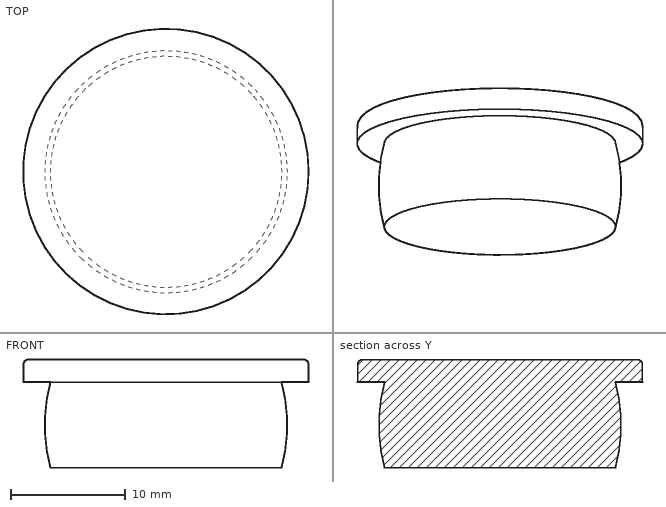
import cadquery as cq

flange_diameter = 25
flange_thickness = 2
rim_fillet = 0.5

plug_height = 7.5
plug_end_radius = 10.12
plug_bulge = 0.5


def make_flange():
    """Round cap disc with a rounded upper rim."""
    disc = cq.Workplane("XY").circle(flange_diameter / 2).extrude(flange_thickness)
    return disc.faces(">Z").edges().fillet(rim_fillet)


def make_plug():
    """Plug revolved about Z, with an arc side widest at mid-height."""
    return (
        cq.Workplane("XZ")
        .moveTo(0, 0)
        .lineTo(plug_end_radius, 0)
        .threePointArc(
            (plug_end_radius + plug_bulge, -plug_height / 2),
            (plug_end_radius, -plug_height),
        )
        .lineTo(0, -plug_height)
        .close()
        .revolve(360, (0, 0, 0), (0, 1, 0))
    )


result = make_flange().union(make_plug())